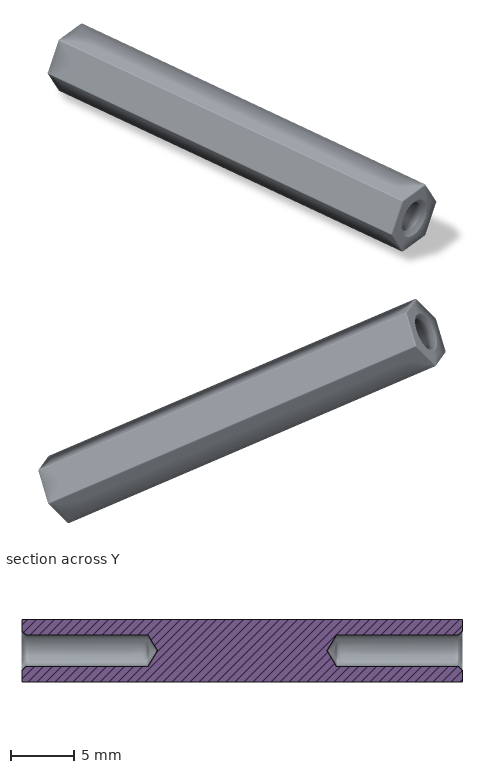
import cadquery as cq
import math

length = 35.0
across_flats = 5.0
edge_radius = 0.1
hole_diameter = 2.5
mouth_diameter = 3.2
hole_depth = 10.0
drill_point_angle = 118.0

across_corners = across_flats / math.cos(math.radians(30))
half_length = length / 2


def hex_body():
    """Hexagonal bar with corners on +Y and -Y and every edge rounded."""
    bar = cq.Workplane("YZ").polygon(6, across_corners).extrude(half_length, both=True)
    return bar.edges().fillet(edge_radius)


def left_hole():
    """Countersunk drilled hole entering the -X end, revolved about X."""
    hole_radius = hole_diameter / 2
    mouth_radius = mouth_diameter / 2
    countersink_depth = mouth_radius - hole_radius
    point_depth = hole_radius / math.tan(math.radians(drill_point_angle / 2))
    profile = [
        (0, 0),
        (0, mouth_radius),
        (countersink_depth, hole_radius),
        (hole_depth, hole_radius),
        (hole_depth + point_depth, 0),
    ]
    cutter = cq.Workplane("XY").polyline(profile).close().revolve(360, (0, 0, 0), (1, 0, 0))
    return cutter.translate((-half_length, 0, 0))


hole = left_hole()
result = hex_body().cut(hole).cut(hole.mirror("YZ"))